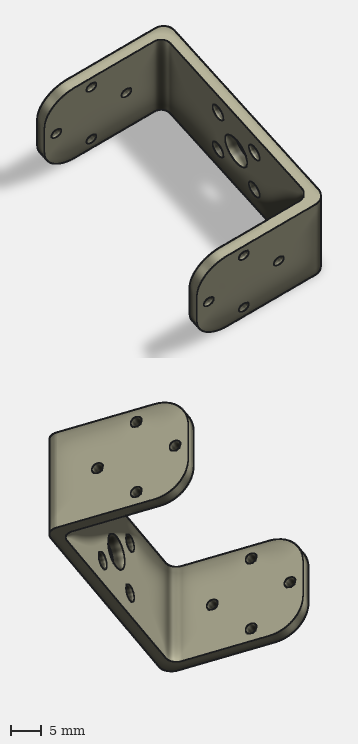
import cadquery as cq

width = 44.0
depth = 25.85
height = 19.0
thickness = 2.05

outer_bend_radius = 2.2
inner_bend_radius = 1.9

arm_corner_radius = 6.05

web_center_hole_diameter = 6.05
web_hole_diameter = 3.0
web_hole_spacing = 10.0

arm_hole_diameter = 2.0
arm_hole_circle_radius = 7.0
arm_hole_circle_inset = 9.35

front_y = -depth / 2
back_y = depth / 2
cavity_width = width - 2 * thickness
cavity_depth = depth - thickness


def make_channel():
    """U-shaped channel, open toward -Y, with rounded bends."""
    outer = cq.Workplane("XY").box(width, depth, height)
    outer = outer.edges("|Z and >Y").fillet(outer_bend_radius)
    cavity = cq.Workplane("XY").box(cavity_width, cavity_depth, height)
    cavity = cavity.edges("|Z and >Y").fillet(inner_bend_radius)
    return outer.cut(cavity.translate((0, -thickness / 2, 0)))


def round_arm_ends(body):
    """Round the upper and lower corners at the free end of both arms."""
    return body.edges("|X and <Y").fillet(arm_corner_radius)


def make_web_holes():
    """Central hole and a square pattern of four holes, along Y."""
    plane = cq.Workplane("XZ", origin=(0, back_y, 0))
    center = plane.circle(web_center_hole_diameter / 2).extrude(depth)
    corners = (
        plane.rect(web_hole_spacing, web_hole_spacing, forConstruction=True)
        .vertices()
        .circle(web_hole_diameter / 2)
        .extrude(depth)
    )
    return center.union(corners)


def make_arm_holes():
    """Four holes on a circle, passing along X through both arms."""
    circle_center_y = front_y + arm_hole_circle_inset
    return (
        cq.Workplane("YZ", origin=(-width / 2, circle_center_y, 0))
        .polarArray(arm_hole_circle_radius, 0, 360, 4)
        .circle(arm_hole_diameter / 2)
        .extrude(width)
    )


bracket = round_arm_ends(make_channel())
result = bracket.cut(make_web_holes()).cut(make_arm_holes())